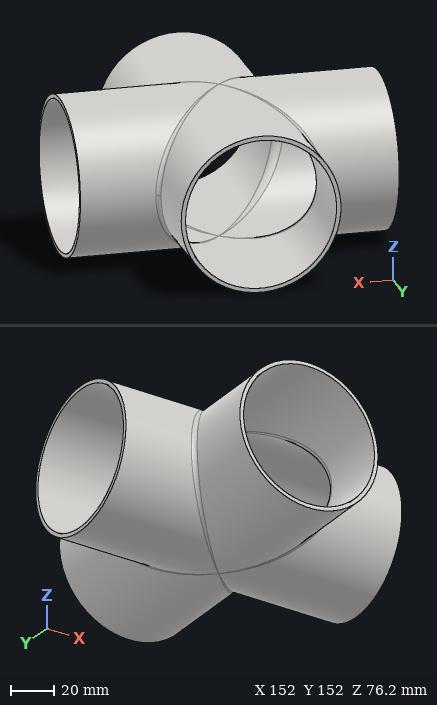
import cadquery as cq

length = 152.0
outer_diameter = 76.2
bore_diameter = 72.0
wall = (outer_diameter - bore_diameter) / 2

outer_fillet = 2.0
inner_fillet = outer_fillet + wall


def crossed_cylinders(diameter, seam_fillet):
    """Two crossing cylinders along X and Y, with their curved seams rounded."""
    along_x = cq.Workplane("YZ").circle(diameter / 2).extrude(length / 2, both=True)
    along_y = cq.Workplane("XZ").circle(diameter / 2).extrude(length / 2, both=True)
    crossing = along_x.union(along_y)
    return crossing.edges("%ELLIPSE").fillet(seam_fillet)


outside = crossed_cylinders(outer_diameter, outer_fillet)
bores = crossed_cylinders(bore_diameter, inner_fillet)
result = outside.cut(bores)